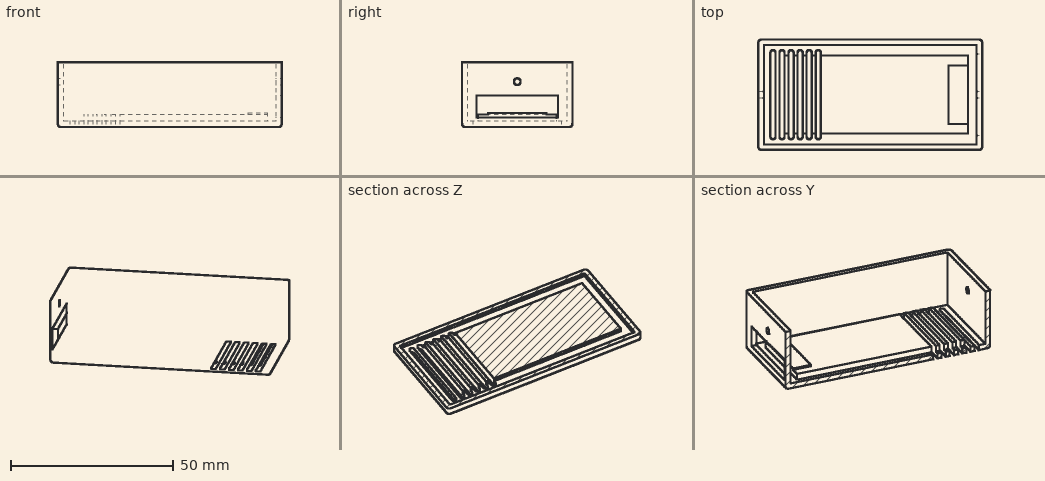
import cadquery as cq

length = 69.0
width = 34.0
height = 20.0
wall = 1.7
floor_thickness = 1.85
outer_radius = 1.05

platform_start = 8.0
platform_end_gap = 4.5
platform_width = 24.0
platform_height = 2.0

pad_length = 6.0
pad_width = 18.0
pad_height = 0.5

slot_count = 6
slot_span = 13.95
slot_pitch = slot_span / (slot_count - 1)
slot_width = 1.5
slot_length = 27.4
first_slot_offset = 4.55

pin_hole_diameter = 2.0
pin_hole_z = 14.0
window_width = 25.0
window_bottom = 3.0
window_top = 9.7

platform_length = length - platform_start - platform_end_gap
platform_end_x = length / 2 - platform_end_gap
platform_top = floor_thickness + platform_height


def block(size_x, size_y, size_z, center_x, bottom_z):
    """Box centred on Y, standing on bottom_z."""
    return (
        cq.Workplane("XY")
        .box(size_x, size_y, size_z, centered=(True, True, False))
        .translate((center_x, 0, bottom_z))
    )


def tray():
    shell = block(length, width, height, 0, 0)
    shell = shell.edges("|Z or <Z").fillet(outer_radius)
    cavity = block(length - 2 * wall, width - 2 * wall, height, 0, floor_thickness)
    return shell.cut(cavity)


def platform():
    base = block(
        platform_length,
        platform_width,
        platform_height,
        platform_end_x - platform_length / 2,
        floor_thickness,
    )
    pad = block(pad_length, pad_width, pad_height, platform_end_x - pad_length / 2, platform_top)
    return base.union(pad)


def vent_slots():
    first_x = -length / 2 + first_slot_offset
    centers = [(first_x + i * slot_pitch, 0) for i in range(slot_count)]
    return (
        cq.Workplane("XY")
        .pushPoints(centers)
        .slot2D(slot_length, slot_width, 90)
        .extrude(height)
    )


def pin_holes():
    """One bore along X through both end walls."""
    return (
        cq.Workplane("YZ", origin=(-length / 2, 0, 0))
        .center(0, pin_hole_z)
        .circle(pin_hole_diameter / 2)
        .extrude(length)
    )


def window():
    """Rectangular opening through the +X wall."""
    return block(wall, window_width, window_top - window_bottom, length / 2 - wall / 2, window_bottom)


result = tray().union(platform()).cut(vent_slots()).cut(pin_holes()).cut(window())